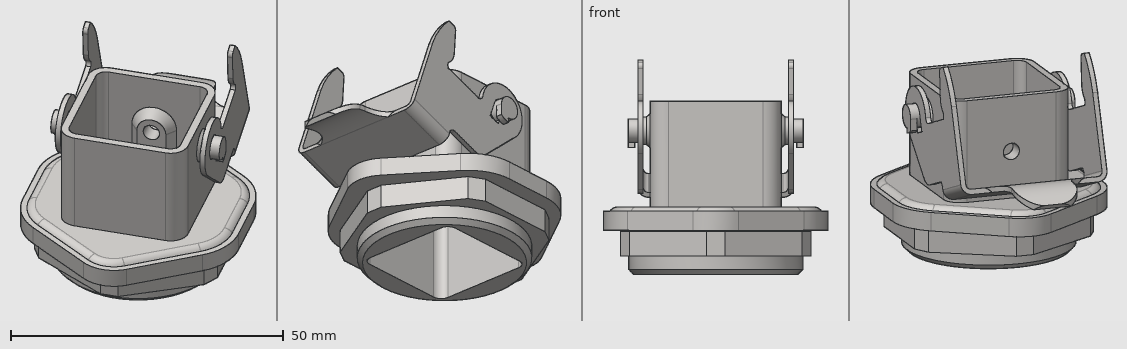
import cadquery as cq
import math

spigot_radius = 16.0
spigot_chamfer = 1.0

nut_across_flats = 35.0
nut_across_trimmed_corners = 38.45
nut_bottom = 3.4
nut_top = 7.95

flange_width = 41.2
flange_length = 46.5
flange_bottom = 8.1
flange_ledge = 11.65
flange_top = 12.45
flange_slope = 35
flange_tip_radius = 7.2
flange_side_radius = 10.3
crown_inset = 0.85
crown_round = 1.85

box_side = 24.1
box_wall = 1.45
box_corner_radius = 3.35
box_top = 31.8
bore_side = box_side - 2 * box_wall
bore_corner_radius = box_corner_radius - box_wall

screw_height = 21.3
screw_boss_length = 1.95
screw_boss_base_radius = 4.25
screw_boss_tip_radius = 2.75
screw_hole_radius = 1.55

pivot_height = 26.4
pin_radius = 2.2
pin_end = 16.1
pin_tab_radius = 3.1
pin_tab_thickness = 1.25
pin_tab_edge = 0.25
cone_base_radius = 3.1
shoulder_radius = 2.55
cone_end = 12.75

lever_tilt = 20
sheet = 1.0
bend_radius = sheet
lever_half_width = 14.3
lever_inner_half_width = lever_half_width - sheet

eye_radius = 5.4
eye_hole_radius = 2.3
eye_notch_depth = 3.2
arm_top = -2.1
arm_eye_fillet = 1.0
arm_bottom = -13.15
arm_bottom_round = 3.0
arm_bottom_slope = 60

web_bottom = -16.65
web_top = web_bottom + sheet
web_front = 10.05
web_relief = 1.0
lever_back = 20.2

horn_root = -1.15
horn_top = 7.25
horn_back_middle = (19.7, 3.15)
horn_back_top = (18.1, horn_top)
horn_tip = (17.05, horn_top)
horn_nose_middle = (16.3, 7.1)
horn_nose = (15.9, 6.4)
catch_top = (14.6, 1.75)
catch_middle = (14.65, 0.3)
catch_bottom = (15.15, -0.8)
catch_relief = (15.3, -1.5)
catch_relief_depth = 0.45

thumb_half_width = 6.0
thumb_bend_radius = 10.65
thumb_sweep = 57
thumb_corner_radius = 4.6
thumb_flare_radius = 4.05


def flange_block(inset, height):
    """Six-sided block with rounded corners, its outline moved inwards by inset."""
    slope = math.radians(flange_slope)
    tip_radius = flange_tip_radius - inset
    half_width = flange_width / 2 - inset
    tip = flange_length / 2 - inset + tip_radius * (1 / math.cos(slope) - 1)
    side = tip - half_width * math.tan(slope)
    corners = [
        (0, -tip),
        (half_width, -side),
        (half_width, side),
        (0, tip),
        (-half_width, side),
        (-half_width, -side),
    ]
    block = cq.Workplane("XY", origin=(0, 0, flange_bottom)).polyline(corners).close().extrude(height)
    block = block.edges("|Z and (>X or <X)").fillet(flange_side_radius - inset)
    return block.edges("|Z and (>Y or <Y)").fillet(tip_radius)


def make_flange():
    """Flange plate with a round-edged crown rising above its ledge."""
    plate = flange_block(0, flange_ledge - flange_bottom)
    crown = flange_block(crown_inset, flange_top - flange_bottom).faces(">Z").edges().fillet(crown_round)
    return plate.union(crown)


def make_nut():
    """Hexagon with flats facing +X and -X and its six corners trimmed flat."""
    height = nut_top - nut_bottom
    half_corner = 30

    def hexagon(across_flats, turn):
        across_corners = across_flats / math.cos(math.radians(half_corner))
        block = cq.Workplane("XY").polygon(6, across_corners).extrude(height)
        return block.rotate((0, 0, 0), (0, 0, 1), turn)

    nut = hexagon(nut_across_flats, half_corner).intersect(hexagon(nut_across_trimmed_corners, 0))
    return nut.translate((0, 0, nut_bottom))


def make_spigot():
    spigot = cq.Workplane("XY").circle(spigot_radius).extrude(flange_bottom)
    return spigot.faces("<Z").edges().chamfer(spigot_chamfer)


def rounded_square_bar(side, corner_radius, bottom, top):
    bar = cq.Workplane("XY", origin=(0, 0, bottom)).rect(side, side).extrude(top - bottom)
    return bar.edges("|Z").fillet(corner_radius)


def make_screw_boss():
    """Tapered boss inside the +Y wall, rounded on top and running down the wall."""
    wall = bore_side / 2
    tip = wall - screw_boss_length
    cone = cq.Workplane(
        cq.Solid.makeCone(
            screw_boss_base_radius,
            screw_boss_tip_radius,
            screw_boss_length,
            cq.Vector(0, wall, screw_height),
            cq.Vector(0, -1, 0),
        )
    )
    rib = (
        cq.Workplane("XY", origin=(0, 0, flange_bottom))
        .polyline([
            (-screw_boss_base_radius, wall),
            (-screw_boss_tip_radius, tip),
            (screw_boss_tip_radius, tip),
            (screw_boss_base_radius, wall),
        ])
        .close()
        .extrude(screw_height - flange_bottom)
    )
    return cone.union(rib)


def make_screw_hole():
    """Hole through the screw boss and the wall behind it."""
    start = bore_side / 2 - screw_boss_length
    plane = cq.Plane(origin=(0, start, screw_height), xDir=(1, 0, 0), normal=(0, 1, 0))
    return cq.Workplane(plane).circle(screw_hole_radius).extrude(screw_boss_length + box_wall)


def make_pin():
    """Pivot on the +X wall: cone, shoulder, pin and the retaining tab under its end."""
    wall = box_side / 2
    pin = (
        cq.Workplane("XZ", origin=(0, 0, pivot_height))
        .polyline([
            (wall, 0),
            (wall, cone_base_radius),
            (cone_end, shoulder_radius),
            (lever_inner_half_width, shoulder_radius),
            (lever_inner_half_width, pin_radius),
            (pin_end, pin_radius),
            (pin_end, 0),
        ])
        .close()
        .revolve(360, (0, 0, 0), (1, 0, 0))
    )
    tab_plane = cq.Workplane("YZ", origin=(pin_end - pin_tab_thickness, 0, pivot_height))
    tab = tab_plane.circle(pin_tab_radius).extrude(pin_tab_thickness)
    tab_limit = (
        tab_plane
        .moveTo(pin_tab_edge, 0)
        .lineTo(pin_radius, 0)
        .lineTo(pin_radius, -pin_tab_radius)
        .lineTo(pin_tab_edge, -pin_tab_radius)
        .close()
        .extrude(pin_tab_thickness)
    )
    return pin.union(tab.intersect(tab_limit))


def make_housing():
    body = make_spigot().union(make_nut()).union(make_flange())
    body = body.union(rounded_square_bar(box_side, box_corner_radius, flange_bottom, box_top))
    body = body.cut(rounded_square_bar(bore_side, bore_corner_radius, 0, box_top))
    body = body.union(make_screw_boss()).cut(make_screw_hole())
    pin = make_pin()
    return body.union(pin).union(pin.mirror("YZ"))


def lever_side_block():
    """Side outline of the lever, extruded across its whole width."""
    fillet_z = arm_top + arm_eye_fillet
    fillet_reach = eye_radius + arm_eye_fillet
    fillet_y = math.sqrt(fillet_reach**2 - fillet_z**2)
    eye_share = eye_radius / fillet_reach
    fillet_start = (fillet_y, arm_top)
    fillet_end = (fillet_y * eye_share, fillet_z * eye_share)

    slope = math.radians(arm_bottom_slope)
    eye_leave = (-eye_radius * math.sin(slope), -eye_radius * math.cos(slope))
    eye_top = (0, eye_radius)
    corner_y = eye_leave[0] + (eye_leave[1] - arm_bottom) / math.tan(slope)
    round_reach = arm_bottom_round * math.tan(slope / 2)
    round_start = (
        corner_y - round_reach * math.cos(slope),
        arm_bottom + round_reach * math.sin(slope),
    )
    round_end = (corner_y + round_reach, arm_bottom)

    outline = (
        cq.Workplane("YZ", origin=(-lever_half_width, 0, 0))
        .moveTo(lever_back, web_bottom)
        .lineTo(lever_back, horn_root)
        .threePointArc(horn_back_middle, horn_back_top)
        .lineTo(*horn_tip)
        .threePointArc(horn_nose_middle, horn_nose)
        .lineTo(*catch_top)
        .threePointArc(catch_middle, catch_bottom)
        .threePointArc(catch_relief, (catch_relief[0] - catch_relief_depth, arm_top))
        .lineTo(*fillet_start)
        .radiusArc(fillet_end, arm_eye_fillet)
        .threePointArc(eye_top, eye_leave)
        .lineTo(*round_start)
        .radiusArc(round_end, -arm_bottom_round)
        .lineTo(web_front - web_relief, arm_bottom)
        .radiusArc((web_front, arm_bottom - web_relief), web_relief)
        .lineTo(web_front, web_bottom)
        .close()
    )
    return outline.extrude(2 * lever_half_width)


def lever_channel():
    """Two upright cheeks joined by a bent web, running the whole length of the lever."""
    length = lever_back + eye_radius
    height = horn_top - web_bottom

    def bar(half_width, bottom, radius):
        block = (
            cq.Workplane("XY", origin=(0, (lever_back - eye_radius) / 2, bottom))
            .rect(2 * half_width, length)
            .extrude(height)
        )
        return block.edges("|Y and <Z").fillet(radius)

    outside = bar(lever_half_width, web_bottom, bend_radius + sheet)
    return outside.cut(bar(lever_inner_half_width, web_top, bend_radius))


def eye_opening():
    """Pivot hole through both cheeks, with the notch that lets the pin tab pass."""
    start = cq.Workplane("YZ", origin=(-lever_half_width, 0, 0))
    hole = start.circle(eye_hole_radius).extrude(2 * lever_half_width)
    notch = (
        start
        .center(eye_hole_radius / 2, -eye_notch_depth / 2)
        .rect(eye_hole_radius, eye_notch_depth)
        .extrude(2 * lever_half_width)
    )
    return hole.union(notch)


def place_lever(shape):
    """Tilt a shape from the lever's own axes and move it to the pivot."""
    return shape.rotate((0, 0, 0), (1, 0, 0), lever_tilt).translate((0, 0, pivot_height))


def make_thumb_tab():
    """Curved tongue behind the web, flared where it joins and rounded at its end."""
    tilt = math.radians(lever_tilt)
    sweep = math.radians(thumb_sweep)
    under_radius = thumb_bend_radius - sheet
    centre_z = web_top - thumb_bend_radius

    def on_arc(radius, angle):
        return (lever_back + radius * math.sin(angle), centre_z + radius * math.cos(angle))

    root_half_width = thumb_half_width + thumb_flare_radius
    band = (
        cq.Workplane("YZ", origin=(-root_half_width, 0, 0))
        .moveTo(*on_arc(thumb_bend_radius, 0))
        .threePointArc(on_arc(thumb_bend_radius, sweep / 2), on_arc(thumb_bend_radius, sweep))
        .lineTo(*on_arc(under_radius, sweep))
        .threePointArc(on_arc(under_radius, sweep / 2), on_arc(under_radius, 0))
        .close()
        .extrude(2 * root_half_width)
    )

    root_y = lever_back * math.cos(tilt) - web_top * math.sin(tilt)
    end_local = on_arc(thumb_bend_radius, sweep)
    end_y = end_local[0] * math.cos(tilt) - end_local[1] * math.sin(tilt)
    flare_y = root_y + thumb_flare_radius
    tongue = (
        cq.Workplane("XY")
        .rect(2 * thumb_half_width, 2 * end_y)
        .extrude(pivot_height)
        .edges("|Z and >Y")
        .fillet(thumb_corner_radius)
    )
    flare = (
        cq.Workplane("XY")
        .rect(2 * root_half_width, 2 * flare_y)
        .extrude(pivot_height)
    )
    for side in (-1, 1):
        hollow = cq.Workplane("XY").center(side * root_half_width, flare_y)
        flare = flare.cut(hollow.circle(thumb_flare_radius).extrude(pivot_height))
    return place_lever(band).intersect(tongue.union(flare))


def make_lever():
    sheet_part = lever_channel().intersect(lever_side_block()).cut(eye_opening())
    return place_lever(sheet_part).union(make_thumb_tab())


housing = make_housing()
lever = make_lever()

result = cq.Compound.makeCompound([housing.val(), lever.val()])